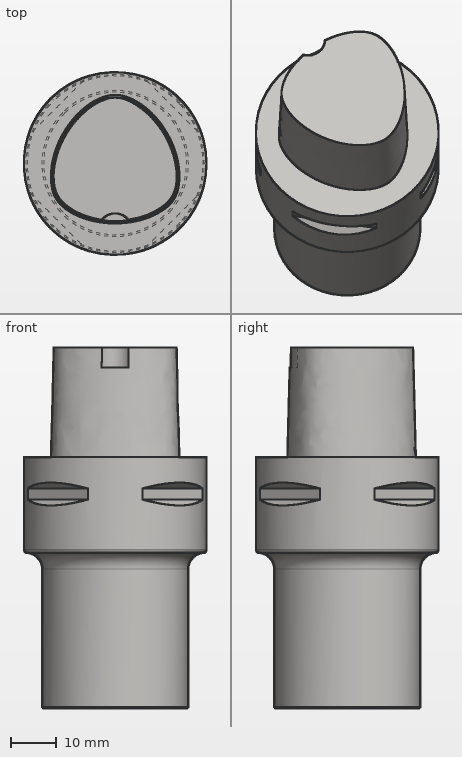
import cadquery as cq
import math

total_height = 79.0
shank_length = 24.0
flange_top = total_height - shank_length

body_radius = 32.0 / 2
flange_radius = 40.0 / 2
end_chamfer = 0.4
neck_fillet_bottom = 30.6
flange_bottom = 34.05
flange_edge_radius = 0.8
neck_fillet_radius = flange_bottom - neck_fillet_bottom

shank_base_radius = 14.1
shank_base_lobe = 0.95
shank_taper = 1 / 40
lobe_count = 3
profile_points = 72

notch_radius = 3.6
notch_center_y = -14.5
notch_depth = 4.4

groove_center_z = 46.9
groove_floor_distance = 17.7
groove_floor_height = 2.4
groove_side_angle = 30.0
groove_overrun = 0.8
groove_angles = (45, 135, 225, 315)


def make_body():
    """Revolve the body, concave neck and flange about Z."""
    arc_diagonal = math.sqrt(0.5)
    neck_arc_middle = (
        body_radius + neck_fillet_radius * (1 - arc_diagonal),
        neck_fillet_bottom + neck_fillet_radius * arc_diagonal,
    )
    edge_arc_middle = (
        flange_radius - flange_edge_radius * (1 - arc_diagonal),
        flange_bottom + flange_edge_radius * (1 - arc_diagonal),
    )
    return (
        cq.Workplane("XZ")
        .lineTo(body_radius - end_chamfer, 0)
        .lineTo(body_radius, end_chamfer)
        .lineTo(body_radius, neck_fillet_bottom)
        .threePointArc(neck_arc_middle, (body_radius + neck_fillet_radius, flange_bottom))
        .lineTo(flange_radius - flange_edge_radius, flange_bottom)
        .threePointArc(edge_arc_middle, (flange_radius, flange_bottom + flange_edge_radius))
        .lineTo(flange_radius, flange_top)
        .lineTo(0, flange_top)
        .close()
        .revolve(360, (0, 0), (0, 1))
    )


def lobed_wire(mean_radius, lobe, z):
    """Constant-width outline with one lobe toward +Y."""
    points = []
    for index in range(profile_points):
        angle = math.pi / 2 + 2 * math.pi * index / profile_points
        phase = lobe_count * (angle - math.pi / 2)
        reach = mean_radius + lobe * math.cos(phase)
        reach_slope = -lobe_count * lobe * math.sin(phase)
        x = reach * math.cos(angle) - reach_slope * math.sin(angle)
        y = reach * math.sin(angle) + reach_slope * math.cos(angle)
        points.append(cq.Vector(x, y, z))
    return cq.Wire.assembleEdges([cq.Edge.makeSpline(points, periodic=True)])


def make_shank():
    """Loft the tapered shank and cut the notch at its tip."""
    tip_radius = shank_base_radius - shank_taper * shank_length
    base = lobed_wire(shank_base_radius, shank_base_lobe, flange_top)
    tip = lobed_wire(tip_radius, shank_base_lobe, total_height)
    shank = cq.Workplane(cq.Solid.makeLoft([base, tip], True))
    notch = (
        cq.Workplane("XY", origin=(0, notch_center_y, total_height - notch_depth))
        .circle(notch_radius)
        .extrude(notch_depth)
    )
    return shank.cut(notch)


def make_groove(angle):
    """Trapezoidal groove cutter across the flange, facing the given angle."""
    cut_depth = flange_radius - groove_floor_distance + groove_overrun
    half_floor = groove_floor_height / 2
    half_mouth = half_floor + cut_depth * math.tan(math.radians(groove_side_angle))
    outer = groove_floor_distance + cut_depth
    return (
        cq.Workplane("XZ", origin=(0, 0, groove_center_z))
        .polyline([
            (groove_floor_distance, -half_floor),
            (outer, -half_mouth),
            (outer, half_mouth),
            (groove_floor_distance, half_floor),
        ])
        .close()
        .extrude(flange_radius, both=True)
        .rotate((0, 0, 0), (0, 0, 1), angle)
    )


result = make_body().union(make_shank())
for groove_angle in groove_angles:
    result = result.cut(make_groove(groove_angle))